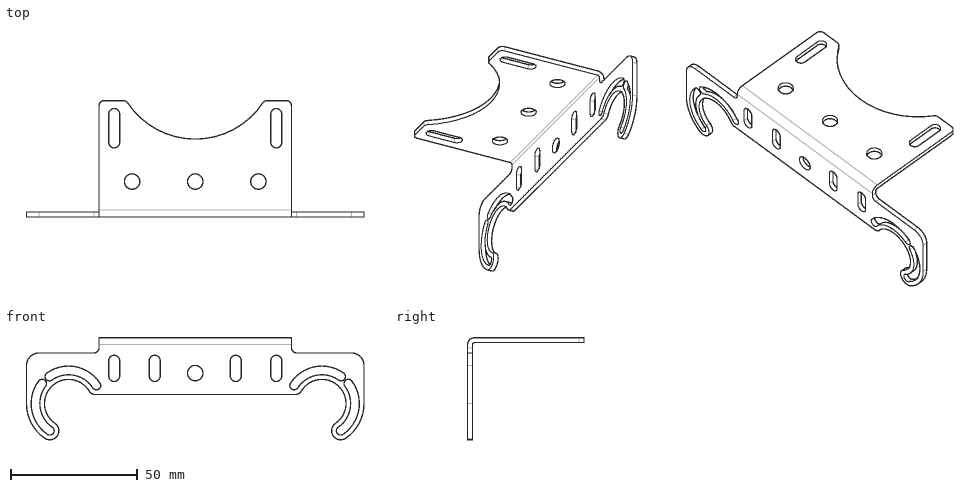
import cadquery as cq
import math

length = 133.4
depth = 46.0
thickness = 2.0
bend_outer_radius = 2.8
bend_inner_radius = bend_outer_radius - thickness
flange_half_width = 38.0
corner_radius = 2.0

shoulder_z = -6.0
plate_bottom_z = -22.5
shoulder_radius = 5.1

hook_outer_radius = 16.7
hook_inner_radius = 9.5
hook_x = length / 2 - hook_outer_radius
hook_z = -26.0
hook_end_angle = 235.5
hook_root_radius = 3.0
hook_mid_radius = (hook_outer_radius + hook_inner_radius) / 2
hook_tip_radius = (hook_outer_radius - hook_inner_radius) / 2

arc_slot_width = 3.3
arc_slot_angles = [(33.0, 125.5), (143.0, hook_end_angle)]

hole_diameter = 6.0
slot_width = 4.3
upright_hole_z = -14.0
upright_slot_z = -12.1
upright_slot_length = 10.3
upright_slot_pitch = 16.0
flange_hole_y = 14.0
flange_hole_pitch = 25.0
flange_slot_x = 32.0
flange_slot_y = 35.1
flange_slot_length = 15.5

notch_radius = 32.0
notch_bottom_y = 30.8
notch_y = notch_bottom_y + notch_radius


def hook_point(radius, angle):
    """Point at a polar position about the centre of the left hook."""
    a = math.radians(angle)
    return (-hook_x + radius * math.cos(a), hook_z + radius * math.sin(a))


def front_plane():
    """Sketch plane on the front face; positive extrusion runs towards -Y."""
    return cq.Workplane("XZ")


def mirrored(half):
    """The body together with its mirror image across X = 0."""
    return half.union(half.mirror("YZ"))


def make_hook_half():
    """Left half of the upright plate below the shoulder, with its hook."""
    root_z = plate_bottom_z + hook_root_radius
    root_distance = hook_inner_radius + hook_root_radius
    root_angle = math.degrees(math.asin((root_z - hook_z) / root_distance))
    root_x = hook_point(root_distance, root_angle)[0]
    mid_root_angle = math.radians((root_angle + 180 + 270) / 2)
    root_mid = (
        root_x + hook_root_radius * math.cos(mid_root_angle),
        root_z + hook_root_radius * math.sin(mid_root_angle),
    )
    tip_x, tip_z = hook_point(hook_mid_radius, hook_end_angle)
    tip_angle = math.radians(hook_end_angle + 90)
    tip_mid = (
        tip_x + hook_tip_radius * math.cos(tip_angle),
        tip_z + hook_tip_radius * math.sin(tip_angle),
    )
    plate = (
        front_plane()
        .moveTo(0, shoulder_z)
        .lineTo(-length / 2, shoulder_z)
        .lineTo(-length / 2, hook_z)
        .threePointArc(
            hook_point(hook_outer_radius, (180 + hook_end_angle) / 2),
            hook_point(hook_outer_radius, hook_end_angle),
        )
        .threePointArc(tip_mid, hook_point(hook_inner_radius, hook_end_angle))
        .threePointArc(
            hook_point(hook_inner_radius, (root_angle + hook_end_angle) / 2),
            hook_point(hook_inner_radius, root_angle),
        )
        .threePointArc(root_mid, (root_x, plate_bottom_z))
        .lineTo(0, plate_bottom_z)
        .close()
        .extrude(-thickness)
    )
    corner = cq.selectors.NearestToPointSelector((-length / 2, thickness / 2, shoulder_z))
    return plate.edges(corner).fillet(shoulder_radius)


def make_bent_sheet():
    """L-shaped sheet: the flange, the bend and the middle of the upright plate."""
    return (
        cq.Workplane("YZ")
        .moveTo(depth, 0)
        .lineTo(bend_outer_radius, 0)
        .radiusArc((0, -bend_outer_radius), -bend_outer_radius)
        .lineTo(0, plate_bottom_z)
        .lineTo(thickness, plate_bottom_z)
        .lineTo(thickness, -bend_outer_radius)
        .radiusArc((bend_outer_radius, -thickness), bend_inner_radius)
        .lineTo(depth, -thickness)
        .close()
        .extrude(flange_half_width, both=True)
    )


def round_sheet_corners(body):
    """Round the inside shoulder corners and the rear corners of the flange."""
    notch_corner_x = math.sqrt(notch_radius**2 - (notch_y - depth) ** 2)
    corners = []
    for side in (-1, 1):
        corners.append((side * flange_half_width, thickness / 2, shoulder_z))
        corners.append((side * flange_half_width, depth, -thickness / 2))
        corners.append((side * notch_corner_x, depth, -thickness / 2))
    for point in corners:
        body = body.edges(cq.selectors.NearestToPointSelector(point)).fillet(corner_radius)
    return body


def make_arc_slot(start, end):
    """Cutter for a round-ended arc slot about the left hook centre."""
    inner = hook_mid_radius - arc_slot_width / 2
    outer = hook_mid_radius + arc_slot_width / 2
    middle = (start + end) / 2
    slot = (
        front_plane()
        .moveTo(*hook_point(inner, start))
        .threePointArc(hook_point(inner, middle), hook_point(inner, end))
        .lineTo(*hook_point(outer, end))
        .threePointArc(hook_point(outer, middle), hook_point(outer, start))
        .close()
        .extrude(-thickness)
    )
    ends = [hook_point(hook_mid_radius, start), hook_point(hook_mid_radius, end)]
    return slot.union(front_plane().pushPoints(ends).circle(arc_slot_width / 2).extrude(-thickness))


def cut_upright(body):
    """Cut the arc slots, straight slots and centre hole of the upright plate."""
    for start, end in arc_slot_angles:
        body = body.cut(mirrored(make_arc_slot(start, end)))
    slot_points = [(n * upright_slot_pitch, upright_slot_z) for n in (-2, -1, 1, 2)]
    slots = (
        front_plane()
        .pushPoints(slot_points)
        .slot2D(upright_slot_length, slot_width, 90)
        .extrude(-thickness)
    )
    hole = front_plane().center(0, upright_hole_z).circle(hole_diameter / 2).extrude(-thickness)
    return body.cut(slots).cut(hole)


def cut_flange(body):
    """Cut the holes and straight slots of the flange."""
    hole_points = [(n * flange_hole_pitch, flange_hole_y) for n in (-1, 0, 1)]
    slot_points = [(side * flange_slot_x, flange_slot_y) for side in (-1, 1)]
    holes = cq.Workplane("XY").pushPoints(hole_points).circle(hole_diameter / 2).extrude(-thickness)
    slots = (
        cq.Workplane("XY")
        .pushPoints(slot_points)
        .slot2D(flange_slot_length, slot_width, 90)
        .extrude(-thickness)
    )
    return body.cut(holes).cut(slots)


notch = cq.Workplane("XY").center(0, notch_y).circle(notch_radius).extrude(-thickness)
bracket = make_bent_sheet().union(mirrored(make_hook_half())).cut(notch)
bracket = round_sheet_corners(bracket)
result = cut_flange(cut_upright(bracket))